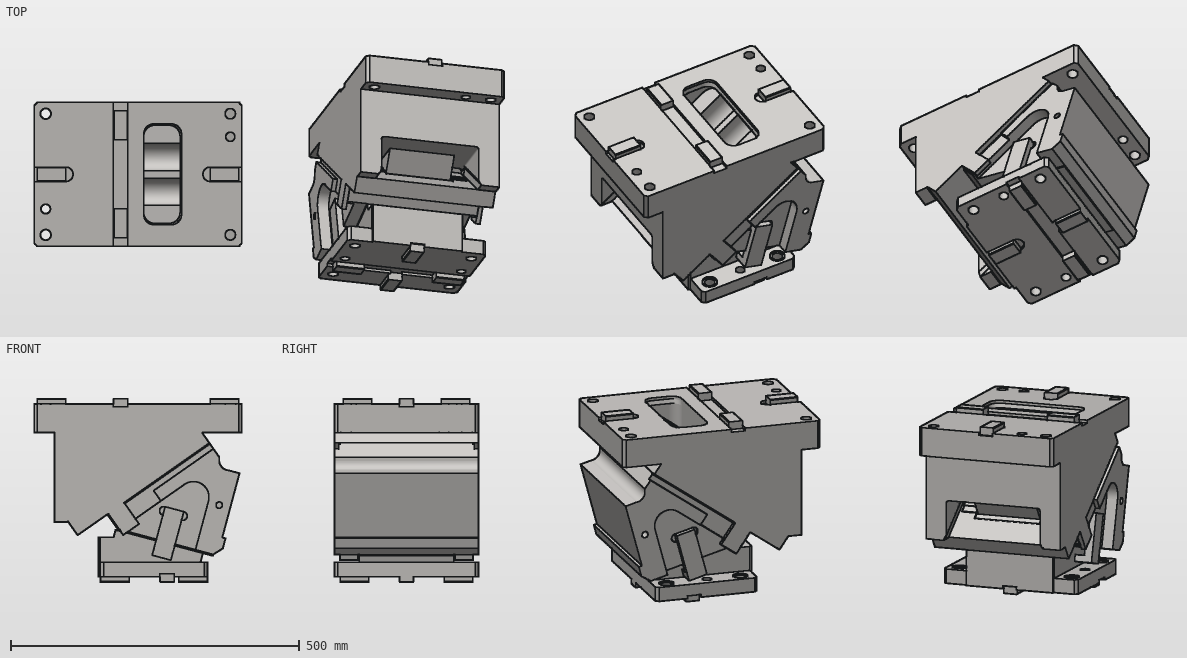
import cadquery as cq
import math


WIDTH = 250.0
HALF_WIDTH = WIDTH / 2
HEIGHT = 300.0
CORNER_CHAMFER = 5.5
OVERCUT = 20.0

GUIDE_ANGLE = math.radians(35)
DRIVE_ANGLE = math.radians(15)
GUIDE_ORIGIN = (-51.5, 109.3)
DRIVE_ORIGIN = (-39.0, 81.5)

KEY_WIDTH = 25.0
KEY_LENGTH = 50.0
KEY_PROUD = 9.0
KEY_SLOT_DEPTH = 5.0
KEY_CHAMFER = 1.2
KEY_END_GAP = 5.0

PLATE_LENGTH = 360.0
PLATE_THICKNESS = 50.0
PLATE_BOTTOM = HEIGHT - PLATE_THICKNESS
BODY_LEFT = -145.0
BODY_BOTTOM = 95.0
TOE_U = -65.0
GUIDE_LENGTH = 214.0
LIP_LENGTH = 33.6
LIP_DROP = 45.0
CROSS_KEY_X = -30.0
CROSS_KEY_Y = 85.0
BOLT_X = 160.0
BOLT_Y = 105.0
BOLT_DIAMETER = 18.0
DOWEL_DIAMETER = 16.0
HOLDER_DOWELS = [(-BOLT_X, -60.0), (BOLT_X, 65.0)]

WINDOW_X = (10.0, 75.5)
WINDOW_LENGTH = 175.0
WINDOW_RADIUS = 18.0
WINDOW_STRAIGHT = 5.0
WINDOW_TAPER_DEPTH = 7.5
WINDOW_INSET = 2.7
WINDOW_FLOOR_N = 74.3
GROOVE_RADIUS = 23.5
GROOVE_Y = 30.0
GROOVE_WALL = 9.0
GROOVE_END_X = 100.0

CAVITY_WIDTH = 175.0
CAVITY_TOP = 166.0
CAVITY_CORNER = 5.0
CAVITY_FLOOR_N = 29.2
CAVITY_SIDE_END_U = 41.0
CAVITY_BACK_U = -4.0
CAVITY_BACK_WIDTH = 116.0
UNDERCUT_WIDTH = 5.0
UNDERCUT_WALL = 13.0
UNDERCUT_TOP = 19.3
CAVITY_PADS = [(2.0, 9.0), (3.2, CAVITY_SIDE_END_U)]
RELIEF_WIDTH = 121.0
RELIEF_START_U = -16.0
RELIEF_DEPTH = 2.0

SLIDER_LEFT_U = -2.0
SLIDER_NOSE_N = -30.0
SLIDER_NOSE_DROP = 7.0
HOOK_ARC_RADIUS = 17.0
HOOK_ARC_END_V = 162.3
SLIDER_TOP_W = 150.5
SLIDER_BACK_V = 182.4
HEEL_V = 188.2
HEEL_TOP_W = 35.3
HEEL_BOTTOM_W = 17.0
SLIDER_BOTTOM_END_V = 175.0
CHEEK_BOTTOM_W = 2.6
LIP_INNER_Y = 117.0
EDGE_RELIEF = 1.8
RAIL_DEPTH = 12.2
CLEARANCE_END_U = 87.4
CLEARANCE_DEPTH = 34.0
POCKET_HALF_WIDTH = 104.5
POCKET_WALL_V = 142.8
POCKET_RADIUS = 27.0
SIDE_HOLE = (140.7, 124.4)
SIDE_HOLE_DIAMETER = 11.0
SIDE_HOLE_DEPTH = 25.0

STRAP_V = (72.7, 106.3)
STRAP_W = (-26.0, 61.0)
STRAP_Y = (101.0, 115.5)
STRAP_HOOK_Y = 84.0
STRAP_HOOK_TOP_W = -14.0
STRAP_SLOT_LENGTH = 49.0
STRAP_SLOT_HEIGHT = 15.0
STRAP_SLOT_DEPTH = 5.0

BASE_X = (-65.0, 120.5)
BASE_THICKNESS = 25.5
BLOCK_LEFT = -68.8
BLOCK_LEDGE = 69.0
BLOCK_WIDTH = 164.0
END_PAD_WIDTH = 161.5
DRIVE_LENGTH = 157.0
BASE_CROSS_KEY_X = 50.5
BASE_CROSS_KEY_Y = 90.0
BASE_HOLE_Y = 105.0
BASE_BOLT_X = (-40.0, 95.0)
BASE_DOWEL_X = 21.0
COUNTERBORE_DIAMETER = 26.0
COUNTERBORE_DEPTH = 2.0


def on_guide(u, n):
    """XZ point u along the guide face and n above it."""
    x, z = GUIDE_ORIGIN
    c, s = math.cos(GUIDE_ANGLE), math.sin(GUIDE_ANGLE)
    return (x + u * c - n * s, z + u * s + n * c)


def on_drive(v, w):
    """XZ point v down along the driver's inclined face and w above it."""
    x, z = DRIVE_ORIGIN
    c, s = math.cos(DRIVE_ANGLE), math.sin(DRIVE_ANGLE)
    return (x + v * c + w * s, z - v * s + w * c)


def crossing(p, p_dir, q, q_dir):
    """XZ point where the line from p along p_dir meets the line from q along q_dir."""
    det = p_dir[0] * q_dir[1] - p_dir[1] * q_dir[0]
    t = ((q[0] - p[0]) * q_dir[1] - (q[1] - p[1]) * q_dir[0]) / det
    return (p[0] + t * p_dir[0], p[1] + t * p_dir[1])


ALONG_GUIDE = (math.cos(GUIDE_ANGLE), math.sin(GUIDE_ANGLE))
ACROSS_GUIDE = (-math.sin(GUIDE_ANGLE), math.cos(GUIDE_ANGLE))
ALONG_DRIVE = (math.cos(DRIVE_ANGLE), -math.sin(DRIVE_ANGLE))
ACROSS_DRIVE = (math.sin(DRIVE_ANGLE), math.cos(DRIVE_ANGLE))
LEVEL = (1.0, 0.0)


def across_guide_plane(u, n):
    """Plane square to the guide direction, with its local axes along Y and n."""
    x, z = on_guide(u, n)
    return cq.Plane(origin=(x, 0, z), xDir=(0, 1, 0), normal=(ALONG_GUIDE[0], 0, ALONG_GUIDE[1]))


def prism(points, y_low, y_high):
    """XZ polygon extruded from y_low to y_high."""
    plane = cq.Workplane("XZ", origin=(0, y_high, 0))
    return plane.polyline(points).close().extrude(y_high - y_low)


def both_sides(body):
    """Body together with its mirror image about Y = 0."""
    return body.union(body.mirror("XZ"))


def rectangle(frame, a_range, b_range):
    """Corner points of a rectangle given in an inclined frame."""
    (a0, a1), (b0, b1) = a_range, b_range
    return [frame(a0, b0), frame(a1, b0), frame(a1, b1), frame(a0, b1)]


def box(x_range, y_range, z_range):
    (x0, x1), (y0, y1), (z0, z1) = x_range, y_range, z_range
    return cq.Workplane("XY").box(x1 - x0, y1 - y0, z1 - z0, centered=False).translate((x0, y0, z0))


def plate(x_range, z_range):
    body = box(x_range, (-HALF_WIDTH, HALF_WIDTH), z_range)
    return body.edges("|Z").chamfer(CORNER_CHAMFER)


def key_block(x, y, face_z, outward, along):
    """Key sitting in its slot; outward is +1 for an upper face and -1 for a lower one."""
    height = KEY_PROUD + KEY_SLOT_DEPTH
    key = cq.Workplane("XY").box(KEY_LENGTH, KEY_WIDTH, height)
    outer = ">Z" if outward > 0 else "<Z"
    key = key.faces(outer).edges("|X").chamfer(KEY_CHAMFER)
    if along == "Y":
        key = key.rotate((0, 0, 0), (0, 0, 1), 90)
    mid_z = face_z + outward * (KEY_PROUD - KEY_SLOT_DEPTH) / 2
    return key.translate((x, y, mid_z))


def end_slot(edge_x, inward, face_z):
    """Round-ended key slot running in from a plate end."""
    straight_end = edge_x + inward * (KEY_END_GAP + KEY_LENGTH)
    outer_end = edge_x - inward * OVERCUT
    low, high = sorted((straight_end, outer_end))
    z_range = (face_z - KEY_SLOT_DEPTH, face_z + KEY_SLOT_DEPTH)
    slot = box((low, high), (-KEY_WIDTH / 2, KEY_WIDTH / 2), z_range)
    round_end = cq.Workplane("XY", origin=(straight_end, 0, z_range[0]))
    return slot.union(round_end.circle(KEY_WIDTH / 2).extrude(2 * KEY_SLOT_DEPTH))


def cross_slot(x, face_z):
    return cq.Workplane("XY").box(KEY_WIDTH, WIDTH + OVERCUT, 2 * KEY_SLOT_DEPTH).translate((x, 0, face_z))


def vertical_holes(points, diameter, z_low, z_high):
    holes = cq.Workplane("XY", origin=(0, 0, z_low)).pushPoints(points)
    return holes.circle(diameter / 2).extrude(z_high - z_low)


def window_sketch(inset):
    """Rounded window outline whose right side and both ends are inset, placed in plan."""
    x0, x1 = WINDOW_X
    x1 = x1 - inset
    sketch = cq.Sketch().rect(x1 - x0, WINDOW_LENGTH - 2 * inset).vertices().fillet(WINDOW_RADIUS)
    return sketch.moved(cq.Location(cq.Vector((x0 + x1) / 2, 0, 0)))


def window_cutter():
    """Window whose tapered lower part ends on an inclined floor with two round grooves."""
    taper_top = HEIGHT - WINDOW_STRAIGHT
    taper_bottom = taper_top - WINDOW_TAPER_DEPTH
    top_plane = cq.Workplane("XY", origin=(0, 0, taper_top))
    bottom_plane = cq.Workplane("XY", origin=(0, 0, taper_bottom))
    opening = top_plane.placeSketch(window_sketch(0)).extrude(WINDOW_STRAIGHT + OVERCUT)
    drop = cq.Location(cq.Vector(0, 0, -WINDOW_TAPER_DEPTH))
    taper = top_plane.placeSketch(window_sketch(0), window_sketch(WINDOW_INSET).moved(drop)).loft()
    inner = bottom_plane.placeSketch(window_sketch(WINDOW_INSET)).extrude(BODY_BOTTOM - taper_bottom)
    above_floor = prism(
        rectangle(on_guide, (-WIDTH, 2 * WIDTH), (WINDOW_FLOOR_N, 2 * WIDTH)), -WIDTH, WIDTH
    )
    window = opening.union(taper).union(inner).intersect(above_floor)
    return window.union(groove_cutter(taper_bottom))


def groove_cutter(roof_z):
    """Two U-shaped grooves along the window floor that run on under the plate."""
    plane = across_guide_plane(0, WINDOW_FLOOR_N - GROOVE_WALL)
    centres = [(-GROOVE_Y, 0), (GROOVE_Y, 0)]
    grooves = cq.Workplane(plane).pushPoints(centres).circle(GROOVE_RADIUS).extrude(2 * WIDTH)
    wall_centres = [(y, GROOVE_WALL / 2) for y, _ in centres]
    walls = cq.Workplane(plane).pushPoints(wall_centres)
    walls = walls.rect(2 * GROOVE_RADIUS, GROOVE_WALL).extrude(2 * WIDTH)
    floor = prism(rectangle(on_guide, (-WIDTH, 2 * WIDTH), (-WIDTH, WINDOW_FLOOR_N)), -WIDTH, WIDTH)
    reach = box((WINDOW_X[0], GROOVE_END_X), (-HALF_WIDTH, HALF_WIDTH), (BODY_BOTTOM, roof_z))
    return grooves.union(walls).intersect(floor).intersect(reach)


def cavity_cutter():
    """Opening in the end wall: an inclined floor, two deep sides and a shallower middle."""
    half = CAVITY_WIDTH / 2
    left = BODY_LEFT - OVERCUT
    opening = cq.Workplane("XY").box(WIDTH, CAVITY_WIDTH, CAVITY_TOP, centered=(False, True, False))
    opening = opening.edges("|X and >Z").fillet(CAVITY_CORNER).translate((left, 0, 0))

    def above_floor(end_u, depth, y_half, start_u=-WIDTH):
        shape = rectangle(on_guide, (start_u, end_u), (CAVITY_FLOOR_N - depth, WIDTH))
        return prism(shape, -y_half, y_half)

    floor_side = opening.intersect(above_floor(CAVITY_BACK_U, 0, half))
    for pad_height, end_u in CAVITY_PADS:
        floor_side = floor_side.union(opening.intersect(above_floor(end_u, -pad_height, half)))
    middle_shape = rectangle(on_guide, (CAVITY_BACK_U, WIDTH), (-OVERCUT, WIDTH))
    middle = prism(middle_shape, -CAVITY_BACK_WIDTH / 2, CAVITY_BACK_WIDTH / 2)
    relief = above_floor(CAVITY_SIDE_END_U, RELIEF_DEPTH, RELIEF_WIDTH / 2, RELIEF_START_U)
    relief = relief.intersect(opening)

    plane = across_guide_plane(-WIDTH, CAVITY_FLOOR_N)
    undercut_points = [
        (half, 0),
        (half + UNDERCUT_WIDTH, 0),
        (half + UNDERCUT_WIDTH, UNDERCUT_WALL),
        (half, UNDERCUT_TOP),
    ]
    undercut = cq.Workplane(plane).polyline(undercut_points).close().extrude(WIDTH + CAVITY_SIDE_END_U)
    return floor_side.union(relief).cut(middle).union(both_sides(undercut))


def make_holder():
    half_length = PLATE_LENGTH / 2
    body = plate((-half_length, half_length), (PLATE_BOTTOM, HEIGHT))
    plate_middle = PLATE_BOTTOM + PLATE_THICKNESS / 2
    toe = on_guide(TOE_U, 0)
    toe_top = on_guide(TOE_U, CAVITY_FLOOR_N)
    guide_end = on_guide(GUIDE_LENGTH, 0)
    wedge = [
        (BODY_LEFT, plate_middle),
        (BODY_LEFT, BODY_BOTTOM),
        crossing(toe_top, ALONG_GUIDE, (0, BODY_BOTTOM), LEVEL),
        toe_top,
        toe,
        guide_end,
        crossing(guide_end, ACROSS_GUIDE, (0, plate_middle), LEVEL),
    ]
    body = body.union(prism(wedge, -HALF_WIDTH, HALF_WIDTH))
    lip = prism(
        rectangle(on_guide, (0, LIP_LENGTH), (-LIP_DROP, OVERCUT)), -HALF_WIDTH, -LIP_INNER_Y
    )
    body = body.union(both_sides(lip))
    body = body.cut(window_cutter()).cut(cavity_cutter())

    bolts = [(sx * BOLT_X, sy * BOLT_Y) for sx in (-1, 1) for sy in (-1, 1)]
    body = body.cut(vertical_holes(bolts, BOLT_DIAMETER, PLATE_BOTTOM, HEIGHT))
    body = body.cut(vertical_holes(HOLDER_DOWELS, DOWEL_DIAMETER, PLATE_BOTTOM, HEIGHT))

    body = body.cut(cross_slot(CROSS_KEY_X, HEIGHT))
    for side in (-1, 1):
        body = body.cut(end_slot(side * half_length, -side, HEIGHT))
        end_key_x = side * (half_length - KEY_END_GAP - KEY_LENGTH / 2)
        body = body.union(key_block(end_key_x, 0, HEIGHT, 1, "X"))
        body = body.union(key_block(CROSS_KEY_X, side * CROSS_KEY_Y, HEIGHT, 1, "Y"))
    return body


def slider_blank():
    """Full-width slider outline between the guide face and the driver face."""
    left_top = on_guide(SLIDER_LEFT_U, 0)
    left_bottom = crossing(left_top, ACROSS_GUIDE, DRIVE_ORIGIN, ALONG_DRIVE)
    nose = on_guide(GUIDE_LENGTH, SLIDER_NOSE_N)
    arc_start = (nose[0], nose[1] - SLIDER_NOSE_DROP)
    outline = (
        cq.Workplane("XZ", origin=(0, HALF_WIDTH, 0))
        .moveTo(*left_top)
        .lineTo(*on_guide(GUIDE_LENGTH, 0))
        .lineTo(*nose)
        .lineTo(*arc_start)
        .radiusArc(on_drive(HOOK_ARC_END_V, SLIDER_TOP_W), -HOOK_ARC_RADIUS)
        .lineTo(*on_drive(SLIDER_BACK_V, SLIDER_TOP_W))
        .lineTo(*on_drive(SLIDER_BACK_V, HEEL_TOP_W))
        .lineTo(*on_drive(HEEL_V, HEEL_TOP_W))
        .lineTo(*on_drive(HEEL_V, HEEL_BOTTOM_W))
        .lineTo(*on_drive(SLIDER_BOTTOM_END_V, CHEEK_BOTTOM_W))
        .lineTo(*on_drive(SLIDER_BOTTOM_END_V, 0))
        .lineTo(*left_bottom)
        .close()
    )
    return outline.extrude(WIDTH)


def side_pocket():
    """Cutter for the strap pocket in the -Y cheek, open to the lower left."""
    shelf = on_guide(-OVERCUT, -CLEARANCE_DEPTH)
    wall_low = on_drive(POCKET_WALL_V, -OVERCUT)
    corner = crossing(shelf, ALONG_GUIDE, wall_low, ACROSS_DRIVE)
    pocket = prism([shelf, corner, wall_low, on_drive(-WIDTH, -OVERCUT)], -HALF_WIDTH, -POCKET_HALF_WIDTH)
    nearest = cq.selectors.NearestToPointSelector((corner[0], -HALF_WIDTH, corner[1]))
    return pocket.edges("|Y").edges(nearest).fillet(POCKET_RADIUS)


def strap():
    """Return strap on the -Y side with a hook at its lower end."""
    bar = prism(rectangle(on_drive, STRAP_V, STRAP_W), -STRAP_Y[1], -STRAP_Y[0])
    hook_heights = (STRAP_W[0], STRAP_HOOK_TOP_W)
    hook = prism(rectangle(on_drive, STRAP_V, hook_heights), -STRAP_Y[1], -STRAP_HOOK_Y)
    return bar.union(hook)


def strap_slot():
    """Round-ended recess in the pocket floor behind the strap's upper end."""
    x, z = on_drive(sum(STRAP_V) / 2, STRAP_W[1] - STRAP_SLOT_HEIGHT / 2)
    plane = cq.Workplane("XZ", origin=(x, -POCKET_HALF_WIDTH, z))
    tilt = -math.degrees(DRIVE_ANGLE)
    return plane.slot2D(STRAP_SLOT_LENGTH, STRAP_SLOT_HEIGHT, tilt).extrude(-STRAP_SLOT_DEPTH)


def make_slider():
    rail = rectangle(on_guide, (-OVERCUT, GUIDE_LENGTH + OVERCUT), (-RAIL_DEPTH, OVERCUT))
    clearance = rectangle(on_guide, (-OVERCUT, CLEARANCE_END_U), (-CLEARANCE_DEPTH, OVERCUT))
    relief = rectangle(on_guide, (LIP_LENGTH, GUIDE_LENGTH + OVERCUT), (-EDGE_RELIEF, OVERCUT))
    underside = rectangle(on_drive, (-OVERCUT, HEEL_V), (-OVERCUT, CHEEK_BOTTOM_W))
    cuts = prism(rail, -HALF_WIDTH, -LIP_INNER_Y)
    cuts = cuts.union(prism(relief, -HALF_WIDTH, -LIP_INNER_Y + EDGE_RELIEF))
    cuts = cuts.union(prism(clearance, -HALF_WIDTH, -LIP_INNER_Y))
    cuts = cuts.union(side_pocket()).union(strap_slot())
    cuts = cuts.union(prism(underside, -HALF_WIDTH, -BLOCK_WIDTH / 2))
    hole_plane = cq.Workplane("XZ", origin=(SIDE_HOLE[0], -HALF_WIDTH, SIDE_HOLE[1]))
    cuts = cuts.union(hole_plane.circle(SIDE_HOLE_DIAMETER / 2).extrude(-SIDE_HOLE_DEPTH))
    return slider_blank().cut(both_sides(cuts)).union(both_sides(strap()))


def make_driver():
    body = plate(BASE_X, (0, BASE_THICKNESS))
    drive_end = on_drive(DRIVE_LENGTH, 0)
    block = [
        (BASE_X[0], 0),
        (BASE_X[0], BLOCK_LEDGE),
        crossing(DRIVE_ORIGIN, ACROSS_DRIVE, (0, BLOCK_LEDGE), LEVEL),
        DRIVE_ORIGIN,
        drive_end,
        crossing(drive_end, ACROSS_DRIVE, (0, 0), LEVEL),
    ]
    body = body.union(prism(block, -BLOCK_WIDTH / 2, BLOCK_WIDTH / 2))
    end_pad = box((BLOCK_LEFT, BASE_X[0]), (-END_PAD_WIDTH / 2, END_PAD_WIDTH / 2), (0, BLOCK_LEDGE))
    body = body.union(end_pad)

    sides = (-1, 1)
    bolts = [(x, side * BASE_HOLE_Y) for x in BASE_BOLT_X for side in sides]
    dowels = [(BASE_DOWEL_X, side * BASE_HOLE_Y) for side in sides]
    body = body.cut(vertical_holes(bolts, BOLT_DIAMETER, 0, BASE_THICKNESS))
    counterbore_floor = BASE_THICKNESS - COUNTERBORE_DEPTH
    body = body.cut(vertical_holes(bolts, COUNTERBORE_DIAMETER, counterbore_floor, BASE_THICKNESS))
    body = body.cut(vertical_holes(dowels, DOWEL_DIAMETER, 0, BASE_THICKNESS))

    body = body.cut(cross_slot(BASE_CROSS_KEY_X, 0))
    for edge_x, inward in ((BASE_X[0], 1), (BASE_X[1], -1)):
        body = body.cut(end_slot(edge_x - inward * KEY_END_GAP, inward, 0))
        body = body.union(key_block(edge_x + inward * KEY_LENGTH / 2, 0, 0, -1, "X"))
    for side in sides:
        body = body.union(key_block(BASE_CROSS_KEY_X, side * BASE_CROSS_KEY_Y, 0, -1, "Y"))
    return body


holder = make_holder()
slider = make_slider()
driver = make_driver()
result = cq.Compound.makeCompound([body.solids().val() for body in (holder, slider, driver)])